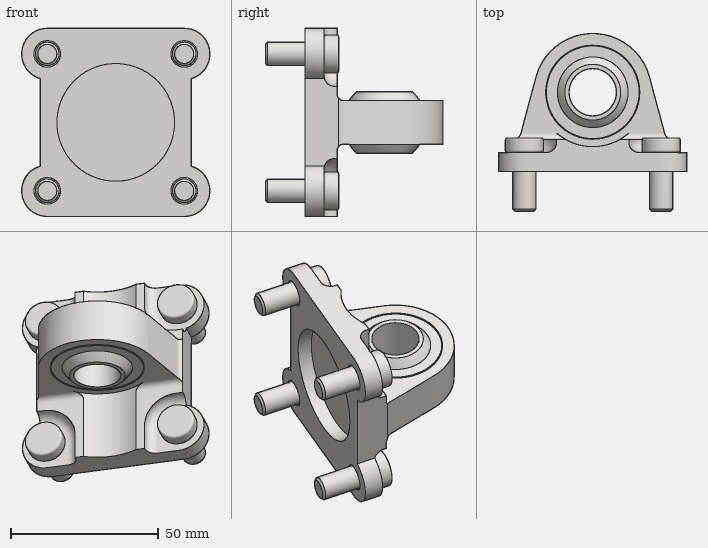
import cadquery as cq
import math


PLATE_SIZE = 64.0
PLATE_THICKNESS = 11.0
WAIST_WIDTH = 51.45
SCREW_SPACING = 46.5
SCREW_OFFSET = SCREW_SPACING / 2
EAR_RADIUS = PLATE_SIZE / 2 - SCREW_OFFSET
SCREW_HOLE_DIAMETER = 9.0
SPIGOT_DIAMETER = 40.0
SPIGOT_DEPTH = 5.0

SEAT_HEIGHT = 6.5
SEAT_RADIUS = 11.0
SEAT_FILLET = 3.5

EYE_HEIGHT = 27.0
EYE_DIAMETER = 40.0
EYE_WIDTH = 15.0
FLANK_ANGLE = math.radians(15)
FOOT_FILLET = 2.05
FLANK_FOOT_FILLET = 2.8
CLEARANCE_DIAMETER = 37.0

BALL_DIAMETER = 28.3
BALL_WIDTH = 21.0
BORE_DIAMETER = 16.0
RING_DIAMETER = 32.0
RING_GROOVE_WIDTH = 0.25
RING_GROOVE_DEPTH = 0.25

SHANK_DIAMETER = 8.0
SHANK_PROJECTION = 13.45
TIP_CHAMFER = 0.8
HEAD_DIAMETER = 13.0
HEAD_HEIGHT = 5.0
HEAD_FILLET = 0.8

SCREW_CENTERS = [(x, z) for x in (-SCREW_OFFSET, SCREW_OFFSET) for z in (-SCREW_OFFSET, SCREW_OFFSET)]


def at_height(y):
    """Workplane at height y whose local axes are X and Z; a negative extrusion goes to +Y."""
    return cq.Workplane("XZ", origin=(0, y, 0))


def eye_plane(z):
    """Workplane across the bore axis at level z, centred on that axis."""
    return cq.Workplane("XY", origin=(0, EYE_HEIGHT, z))


def make_plate_outline(height):
    """Waisted rectangle with a round ear about each screw, extruded from the mounting face."""
    waist = at_height(0).rect(WAIST_WIDTH, SCREW_SPACING).extrude(-height)
    core = at_height(0).rect(SCREW_SPACING, PLATE_SIZE).extrude(-height)
    ears = at_height(0).pushPoints(SCREW_CENTERS).circle(EAR_RADIUS).extrude(-height)
    return waist.union(core).union(ears)


def make_eye():
    """Round-topped tongue whose straight flanks are tangent to the round top."""
    radius = EYE_DIAMETER / 2
    tangent_x = radius * math.cos(FLANK_ANGLE)
    tangent_y = EYE_HEIGHT + radius * math.sin(FLANK_ANGLE)
    foot_x = tangent_x + tangent_y * math.tan(FLANK_ANGLE)
    return (
        cq.Workplane("XY", origin=(0, 0, -EYE_WIDTH / 2))
        .moveTo(-foot_x, 0)
        .lineTo(foot_x, 0)
        .lineTo(tangent_x, tangent_y)
        .threePointArc((0, EYE_HEIGHT + radius), (-tangent_x, tangent_y))
        .close()
        .extrude(EYE_WIDTH)
    )


def make_filleted_foot():
    """Eye on an oversized slab, filleted all round, then trimmed to the plate outline."""
    slab_size = 2 * PLATE_SIZE
    slab = at_height(0).rect(slab_size, slab_size).extrude(-PLATE_THICKNESS)
    margin = FOOT_FILLET / 2
    foot_zone = cq.selectors.BoxSelector(
        (-PLATE_SIZE / 2, PLATE_THICKNESS - margin, -EYE_WIDTH),
        (PLATE_SIZE / 2, PLATE_THICKNESS + margin, EYE_WIDTH),
    )
    body = slab.union(make_eye())
    body = body.edges(foot_zone).edges("|Z").fillet(FLANK_FOOT_FILLET)
    body = body.edges(foot_zone).edges("#Y").fillet(FOOT_FILLET)
    return body.intersect(make_plate_outline(EYE_HEIGHT + EYE_DIAMETER))


def make_seat_cutter(x_side, z_side):
    """Corner pocket, open outwards, with a round inner corner and a rounded floor edge."""
    size = PLATE_SIZE / 2
    center = SCREW_OFFSET - SEAT_RADIUS + size / 2
    return (
        at_height(SEAT_HEIGHT)
        .center(x_side * center, z_side * center)
        .rect(size, size)
        .extrude(-size)
        .edges("|Y")
        .fillet(SEAT_RADIUS)
        .faces("<Y")
        .edges()
        .fillet(SEAT_FILLET)
    )


def make_clearance(z_side):
    """Round scoop beside the eye, from the eye face outwards."""
    return eye_plane(z_side * EYE_WIDTH / 2).circle(CLEARANCE_DIAMETER / 2).extrude(z_side * PLATE_SIZE)


def make_ball():
    """Sphere cut flat at both ends."""
    sphere = eye_plane(0).sphere(BALL_DIAMETER / 2)
    return sphere.intersect(eye_plane(0).rect(PLATE_SIZE, PLATE_SIZE).extrude(BALL_WIDTH / 2, both=True))


def make_ring_groove(z_side):
    """Fine groove around the bearing ring on one face of the eye."""
    outer_radius = RING_DIAMETER / 2
    return (
        eye_plane(z_side * EYE_WIDTH / 2)
        .circle(outer_radius)
        .circle(outer_radius - RING_GROOVE_WIDTH)
        .extrude(-z_side * RING_GROOVE_DEPTH)
    )


def make_housing():
    """Plate, eye and bearing in one solid."""
    housing = make_filleted_foot()
    for x_side in (-1, 1):
        for z_side in (-1, 1):
            housing = housing.cut(make_seat_cutter(x_side, z_side))
    for z_side in (-1, 1):
        housing = housing.cut(make_clearance(z_side)).cut(make_ring_groove(z_side))
    housing = housing.union(make_ball())
    bore = eye_plane(0).circle(BORE_DIAMETER / 2).extrude(BALL_WIDTH, both=True)
    spigot_recess = at_height(0).circle(SPIGOT_DIAMETER / 2).extrude(-SPIGOT_DEPTH)
    screw_holes = (
        at_height(0).pushPoints(SCREW_CENTERS).circle(SCREW_HOLE_DIAMETER / 2).extrude(-PLATE_THICKNESS)
    )
    return housing.cut(bore).cut(spigot_recess).cut(screw_holes)


def make_screw(x, z):
    """Plain round-headed screw: head on the seat, shank through the plate and out below."""
    head = (
        at_height(SEAT_HEIGHT)
        .center(x, z)
        .circle(HEAD_DIAMETER / 2)
        .extrude(-HEAD_HEIGHT)
        .faces("<Y or >Y")
        .edges()
        .fillet(HEAD_FILLET)
    )
    shank = (
        at_height(-SHANK_PROJECTION)
        .center(x, z)
        .circle(SHANK_DIAMETER / 2)
        .extrude(-(SHANK_PROJECTION + SEAT_HEIGHT + HEAD_HEIGHT / 2))
        .faces("<Y")
        .edges()
        .chamfer(TIP_CHAMFER)
    )
    return head.union(shank)


housing = make_housing()
screws = [make_screw(x, z) for x, z in SCREW_CENTERS]

result = cq.Compound.makeCompound([housing.val(), *[screw.val() for screw in screws]])